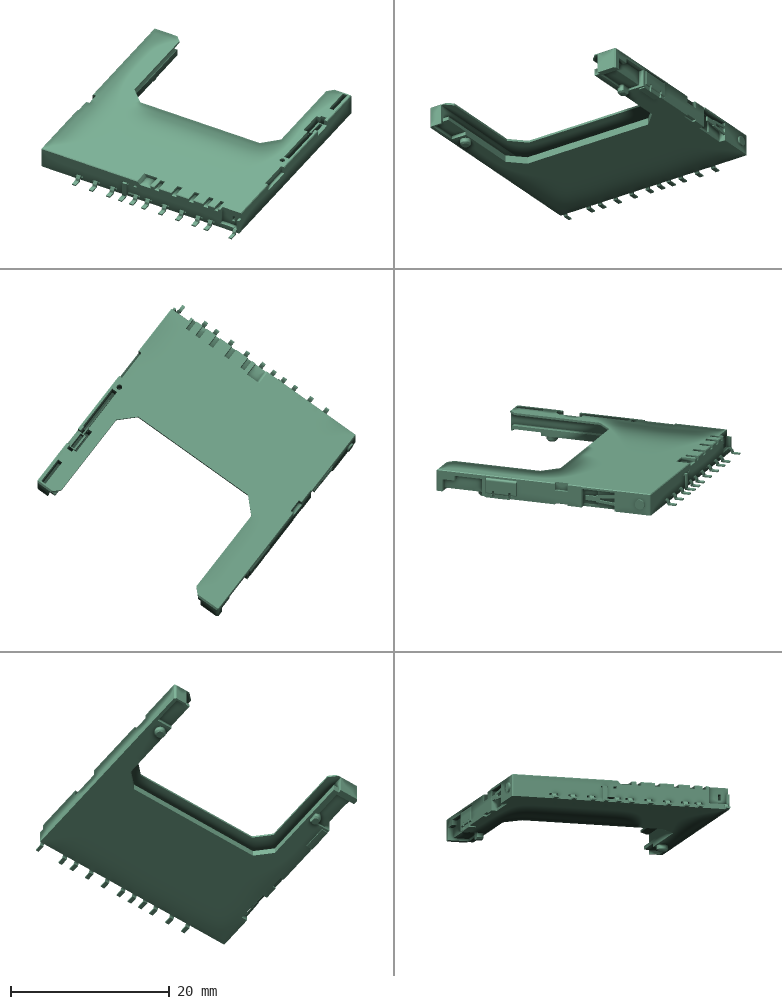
import cadquery as cq

width = 28.5
length = 28.95
height = 2.83
front_face = -0.1
roof = 0.45
left_wall = 0.7
right_wall = 0.45
wall_back = 1.9
rear_wall = 0.25
corner_round = 0.15
top_chamfer = 0.1
rear_chamfer = 0.2
front_bulge = 0.12
inner_top = height - roof
inner_right = width - right_wall
cut_margin = 0.3

opening_left = 4.07
opening_right = 25.32
opening_front = 14.4
opening_corner = 1.98
arm_tip_chamfer = 0.97

slot_left = 2.7
slot_right = 26.72
slot_front = 2.75
slot_top = 2.55
floor_top = 0.9
floor_end = 28.5
floor_setback = 0.6
arm_step_start = 24.62
arm_step_height = 0.45

recess_front = 22.7
recess_step = 26.45
recess_rear = 28.05
recess_low_top = 1.6
recess_high_top = 2.25
recess_floor = 0.3

clip_window_front = 18.0
clip_window_rear = 22.22
clip_window_bottom = 0.35
clip_window_top = 2.5
clip_gap = 0.05
clip_outer = -0.12
clip_inner = 0.35
clip_round = 0.3
clip_tongue_thickness = 0.2
clip_slit_width = 0.3
clip_slit_top = 0.85
clip_lower_round = 0.15
clip_tongue_front = 18.85
clip_tongue_rear = 21.35
clip_foot_front = 19.05
clip_foot_rear = 22.4
clip_foot_left = 0.03
clip_foot_right = 0.9
clip_foot_bottom = -0.12

side_notch_bottom = 1.85
left_notch_depth = 0.5
left_notch_front = 11.15
left_notch_rear = 12.9
left_notch_foot = 0.2
right_notch_front = 7.42
right_notch_rear = 11.52

fork_root = 4.8
fork_shoulder = 7.3
fork_window_rear = 9.27
fork_window_top = 2.5
fork_tip = 8.72
fork_slit_end = 6.78
fork_middle = 1.4
fork_root_half = 0.65
fork_shoulder_half = 0.43
fork_tip_half = 0.3
slit_root_half = 0.3
slit_end_half = 0.15
fork_thickness = 0.2
fork_pocket_inner = 0.9
fork_pocket_floor = 0.3

boss_y = 1.35
boss_z = 1.37
boss_diameter = 1.25
boss_height = 0.25

arm_slot_left = 27.42
rear_slot_front = 25.0
rear_slot_rear = 28.5
long_slot_right = 28.18
long_slot_front = 13.4
arm_slot_floor = 1.22
hole_x = 27.57
hole_y = 12.7
hole_diameter = 0.7

latch_pocket_left = 26.8
latch_pocket_front = 19.5
latch_pocket_rear = 22.8
latch_bay_left = 27.3
latch_bay_rear = 23.13
latch_pocket_floor = 0.35
latch_left = 26.93
latch_front = 20.22
latch_rear = 22.55
latch_top = 2.13
latch_step_right = 27.2
latch_step_top = 1.67
latch_groove_left = 27.45
latch_groove_right = 27.97
latch_groove_floor = 1.22
latch_groove_end_wall = 0.12
rod_left = 27.63
rod_right = 27.82
rod_front = 14.55
rod_top = 1.82

front_notch_length = 1.5
front_notches = [(16.25, 16.9), (18.73, 19.43), (21.22, 21.9), (23.32, 24.0), (24.95, 25.48)]
wide_notch_left = 13.77
wide_notch_right = 15.7
wide_notch_length = 1.73
wide_notch_slope = 0.4

corner_left = 25.8
corner_right = 28.18
corner_post_top = 1.95
corner_bottom = 0.65
corner_setback = 0.5
corner_hole_left = 27.18
corner_hole_right = 27.6
corner_hole_bottom = 1.22
corner_hole_top = 1.95

low_contacts = [5.35, 7.8, 10.3, 13.65, 15.38, 17.85, 20.3, 22.68, 24.45]
tall_contact_x = 12.05
corner_contact_x = 28.0
contact_width = 0.55
corner_contact_width = 0.43
contact_sheet = 0.18
contact_tip = -1.45
contact_foot_bottom = -0.12
contact_end = wall_back + 0.18
low_exit_top = 0.6
low_bend_start = -0.25
low_bend_end = -0.5
low_bend_drop = 0.27
low_foot_start = -0.58
tall_exit_top = 1.98
tall_leg_front = -0.4
exit_hole_width = 1.1
tall_hole_width = 0.9
exit_hole_gap = 0.03
spare_hole_x = 13.45
spare_hole_width = 0.45
lead_slot_x = 12.92
lead_slot_width = 1.1

peg_y = 23.4
peg_bottom = -0.73
peg_diameter = 1.43
peg_chamfer = 0.2
left_peg_x = 2.65
left_peg_width = 0.88
right_peg_x = 26.8


def box(x0, x1, y0, y1, z0, z1):
    """Box between the given pairs of coordinates."""
    return cq.Workplane("XY").box(x1 - x0, y1 - y0, z1 - z0, centered=False).translate((x0, y0, z0))


def prism_x(points, x0, x1):
    """Prism along X from an outline of (y, z) points."""
    return cq.Workplane("YZ").polyline(points).close().extrude(x1 - x0).translate((x0, 0, 0))


def inner_block():
    """Block that fills the space inside the walls and under the roof of the cover."""
    return box(left_wall, inner_right, wall_back, length - rear_wall, 0, inner_top)


def arm_opening():
    """Cutter for the opening between the arms, flared at the arm tips."""
    chamfer_start = length - arm_tip_chamfer
    beyond = length + cut_margin
    spread = arm_tip_chamfer + cut_margin
    points = [
        (opening_left + opening_corner, opening_front),
        (opening_right - opening_corner, opening_front),
        (opening_right, opening_front + opening_corner),
        (opening_right, chamfer_start),
        (opening_right + spread, beyond),
        (opening_left - spread, beyond),
        (opening_left, chamfer_start),
        (opening_left, opening_front + opening_corner),
    ]
    outline = cq.Workplane("XY").workplane(offset=-cut_margin).polyline(points).close()
    return outline.extrude(height + 2 * cut_margin)


def floor_opening():
    """Cutter that leaves the floor of the base set back under the edges of the top plate."""
    front = opening_front - floor_setback
    opening = box(opening_left - floor_setback, opening_right + floor_setback, front, length,
                  -cut_margin, height)
    opening = opening.edges("|Z").edges("<Y").chamfer(opening_corner)
    tips = box(slot_left, slot_right, floor_end, length, -cut_margin, height)
    return opening.union(tips)


def above(x0, x1, y0, y1, z0):
    """Cutter that opens a pocket upwards through the top plate."""
    return box(x0, x1, y0, y1, z0, height + cut_margin)


def rear_recess():
    points = [
        (recess_front, -cut_margin),
        (recess_front, recess_high_top),
        (recess_step, recess_high_top),
        (recess_step, recess_low_top),
        (recess_rear, recess_low_top),
        (recess_rear, -cut_margin),
    ]
    return prism_x(points, -cut_margin, left_wall)


def clip_window():
    window = box(-cut_margin, clip_inner, clip_window_front, clip_window_rear,
                 clip_window_bottom, clip_window_top)
    tongue_slot = box(-cut_margin, clip_tongue_thickness, clip_tongue_front, clip_tongue_rear,
                      -cut_margin, clip_window_bottom)
    return window.union(tongue_slot)


def side_notches():
    left = above(-cut_margin, left_notch_depth, left_notch_front, left_notch_rear, side_notch_bottom)
    right = above(inner_right, width + cut_margin,
                  right_notch_front, right_notch_rear, side_notch_bottom)
    return left.union(right)


def front_notch_cutters():
    cutters = (
        cq.Workplane("XZ")
        .polyline([
            (wide_notch_left, height),
            (wide_notch_left + wide_notch_slope, inner_top),
            (wide_notch_right, inner_top),
            (wide_notch_right, height),
        ])
        .close()
        .extrude(front_face - wide_notch_length)
        .translate((0, front_face, 0))
    )
    for left, right in front_notches:
        cutters = cutters.union(above(left, right, -cut_margin, front_notch_length, inner_top))
    return cutters


def arm_slots():
    rear_slot = above(arm_slot_left, inner_right, rear_slot_front, rear_slot_rear, arm_slot_floor)
    long_slot = above(arm_slot_left, long_slot_right, long_slot_front, latch_pocket_front, arm_slot_floor)
    hole = (
        cq.Workplane("XY")
        .workplane(offset=arm_slot_floor)
        .center(hole_x, hole_y)
        .circle(hole_diameter / 2)
        .extrude(height)
    )
    return rear_slot.union(long_slot).union(hole)


def latch_pocket():
    pocket = above(latch_pocket_left, inner_right, latch_pocket_front, latch_pocket_rear, latch_pocket_floor)
    wall_gap = above(inner_right, width + cut_margin, latch_front, latch_rear, latch_pocket_floor)
    bay = above(latch_bay_left, inner_right, latch_pocket_front, latch_bay_rear, latch_pocket_floor)
    return pocket.union(bay).union(wall_gap)


def exit_hole(x, hole_width, exit_top):
    """Slot through the front wall, as high as a contact that leaves at the given top."""
    return box(x - hole_width / 2, x + hole_width / 2, -cut_margin, contact_end,
               exit_top - contact_sheet - exit_hole_gap, exit_top + exit_hole_gap)


def spring_fork():
    """Forked tongue that continues the left wall into its window."""
    half_outline = [
        (fork_root, fork_root_half),
        (fork_shoulder, fork_shoulder_half),
        (fork_shoulder, fork_tip_half),
        (fork_tip, fork_tip_half),
    ]
    half_slit = [(fork_root, slit_root_half), (fork_slit_end, slit_end_half)]

    def mirrored(half, x0, x1):
        upper = [(y, fork_middle + z) for y, z in half]
        lower = [(y, fork_middle - z) for y, z in reversed(half)]
        return prism_x(upper + lower, x0, x1)

    outer_face = -front_bulge
    fork = mirrored(half_outline, outer_face, outer_face + fork_thickness)
    return fork.cut(mirrored(half_slit, outer_face, outer_face + fork_thickness))


def wall_boss():
    disc = cq.Workplane("YZ").center(boss_y, boss_z).circle(boss_diameter / 2).extrude(-boss_height)
    return disc.translate((-front_bulge, 0, 0))


def cover_block():
    main = box(0, width, front_face, length, 0, height)
    bulge = box(-front_bulge, left_wall, front_face, fork_window_rear, 0, height)
    block = main.union(bulge)
    block = block.edges("|Z").edges("<Y").edges("<X").fillet(corner_round)
    block = block.edges("|Z").edges(">Y").chamfer(rear_chamfer)
    rear_slope = prism_x([(length - rear_chamfer, height), (length, height), (length, height - rear_chamfer)],
                         0, width)
    block = block.faces(">Z").edges("not >Y").chamfer(top_chamfer)
    return block.cut(rear_slope)


def make_cover():
    cover = cover_block().cut(inner_block()).cut(arm_opening())
    cover = cover.cut(box(slot_left, slot_right, slot_front, length + cut_margin, -cut_margin, slot_top))

    cover = cover.cut(rear_recess()).cut(clip_window()).cut(side_notches())
    cover = cover.cut(box(-cut_margin, left_notch_depth, left_notch_front, left_notch_rear,
                          -cut_margin, left_notch_foot))
    cover = cover.cut(box(-cut_margin, left_wall, fork_root, fork_window_rear, -cut_margin, fork_window_top))
    cover = cover.union(spring_fork()).union(wall_boss())

    cover = cover.cut(front_notch_cutters()).cut(arm_slots()).cut(latch_pocket())
    cover = cover.cut(above(corner_left, corner_right, -cut_margin, corner_setback, corner_bottom))
    cover = cover.cut(above(corner_left, width + cut_margin, -cut_margin, corner_setback, corner_post_top))
    cover = cover.cut(box(corner_hole_left, corner_hole_right, 0, wall_back,
                          corner_hole_bottom, corner_hole_top))
    for x in low_contacts:
        cover = cover.cut(exit_hole(x, exit_hole_width, low_exit_top))
    cover = cover.cut(exit_hole(lead_slot_x, lead_slot_width, low_exit_top))
    cover = cover.cut(exit_hole(tall_contact_x, tall_hole_width, tall_exit_top))
    cover = cover.cut(exit_hole(corner_contact_x, corner_contact_width, low_exit_top))
    cover = cover.cut(exit_hole(spare_hole_x, spare_hole_width, tall_exit_top))
    return cover


def contact(x, strip_width, side_profile):
    return prism_x(side_profile, x - strip_width / 2, x + strip_width / 2)


def low_contact(x, strip_width):
    """Gull-wing contact that leaves the front wall near the board."""
    foot_top = contact_foot_bottom + contact_sheet
    bend_top = low_exit_top - low_bend_drop
    lower_back = low_foot_start + contact_sheet
    return contact(x, strip_width, [
        (contact_end, low_exit_top),
        (low_bend_start, low_exit_top),
        (low_bend_end, bend_top),
        (low_foot_start, foot_top),
        (contact_tip, foot_top),
        (contact_tip, contact_foot_bottom),
        (lower_back, contact_foot_bottom),
        (low_bend_start, low_exit_top - contact_sheet),
        (contact_end, low_exit_top - contact_sheet),
    ])


def tall_contact(x):
    """Contact that leaves the front wall high up and runs straight down to its foot."""
    foot_top = contact_foot_bottom + contact_sheet
    leg_back = tall_leg_front + contact_sheet
    return contact(x, contact_width, [
        (contact_end, tall_exit_top),
        (tall_leg_front, tall_exit_top),
        (tall_leg_front, foot_top),
        (contact_tip, foot_top),
        (contact_tip, contact_foot_bottom),
        (leg_back, contact_foot_bottom),
        (leg_back, tall_exit_top - contact_sheet),
        (contact_end, tall_exit_top - contact_sheet),
    ])


def peg(x):
    post = cq.Workplane("XY").center(x, peg_y).circle(peg_diameter / 2).extrude(peg_bottom - floor_top)
    return post.translate((0, 0, floor_top)).faces("<Z").chamfer(peg_chamfer)


def flat_sided_peg(x):
    half_width = left_peg_width / 2
    slab = box(x - half_width, x + half_width, peg_y - peg_diameter, peg_y + peg_diameter,
               peg_bottom, floor_top)
    return peg(x).intersect(slab)


def make_base():
    base = inner_block()
    base = base.cut(box(slot_left, slot_right, slot_front, length, floor_top, height))
    base = base.cut(floor_opening())
    base = base.cut(box(opening_right, width, arm_step_start, length, -cut_margin, arm_step_height))
    base = base.cut(box(0, slot_left, recess_front, recess_rear, -cut_margin, recess_floor))
    base = base.cut(box(0, fork_pocket_inner, fork_shoulder, fork_window_rear,
                        fork_pocket_floor, fork_window_top))
    base = base.cut(arm_slots()).cut(latch_pocket())

    base = base.union(flat_sided_peg(left_peg_x))
    base = base.union(peg(right_peg_x))
    for x in low_contacts:
        base = base.union(low_contact(x, contact_width))
    base = base.union(low_contact(corner_contact_x, corner_contact_width))
    base = base.union(tall_contact(tall_contact_x))
    return base


def make_clip():
    panel = box(clip_outer, clip_inner, clip_window_front + clip_gap, clip_window_rear - clip_gap,
                clip_window_bottom + clip_gap, clip_window_top - clip_gap)
    panel = panel.edges("|Y").edges("<X").edges(">Z").fillet(clip_round)
    panel = panel.edges("|Y").edges("<X").edges("<Z").fillet(clip_lower_round)
    for slit_front in (clip_tongue_front, clip_tongue_rear - clip_slit_width):
        panel = panel.cut(box(clip_outer, clip_inner, slit_front, slit_front + clip_slit_width,
                              clip_window_bottom, clip_slit_top))
    tongue = box(0, clip_tongue_thickness, clip_tongue_front + clip_slit_width,
                 clip_tongue_rear - clip_slit_width, clip_foot_bottom, clip_slit_top)
    foot = box(clip_foot_left, clip_foot_right, clip_foot_front, clip_foot_rear, clip_foot_bottom, 0)
    return panel.union(tongue).union(foot)


def make_latch():
    block = box(latch_left, width, latch_front, latch_rear, latch_pocket_floor, latch_top)
    groove = above(latch_groove_left, latch_groove_right, latch_front + latch_groove_end_wall,
                   latch_rear - latch_groove_end_wall, latch_groove_floor)
    step = above(latch_left, latch_step_right, latch_front, latch_rear, latch_step_top)
    rod = box(rod_left, rod_right, rod_front, latch_front, latch_groove_floor, rod_top)
    return block.cut(groove).cut(step).union(rod)


cover = make_cover()
base = make_base()
clip = make_clip()
latch = make_latch()

result = cq.Compound.makeCompound([body.solids().val() for body in (cover, base, clip, latch)])